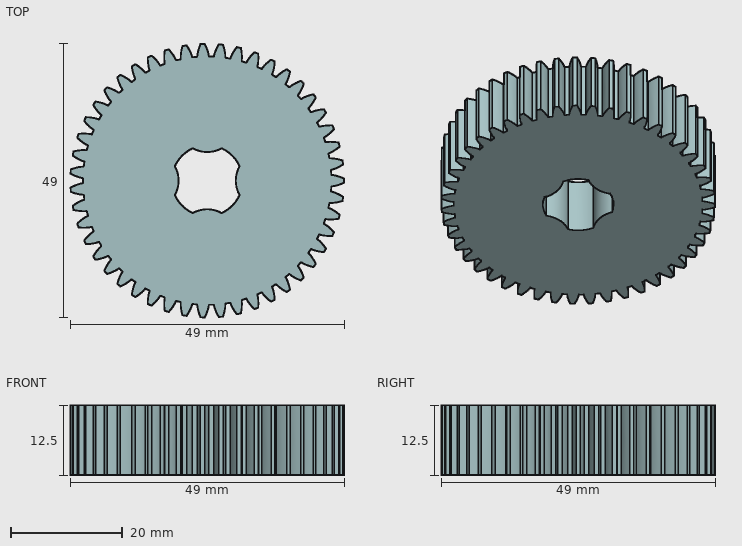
import cadquery as cq
import math

tooth_count = 47
outer_diameter = 49.0
face_width = 12.5
pressure_angle = math.radians(20.0)
dedendum_factor = 1.25
flank_steps = 6

module = outer_diameter / (tooth_count + 2)
outer_radius = outer_diameter / 2
pitch_radius = module * tooth_count / 2
base_radius = pitch_radius * math.cos(pressure_angle)
root_radius = pitch_radius - dedendum_factor * module
tooth_pitch = 2 * math.pi / tooth_count

bore_radius = 6.3
lobe_radius = 5.25
lobe_clearance = 5.1
lobe_count = 4


def polar(radius, angle):
    return (radius * math.cos(angle), radius * math.sin(angle))


def involute_angle(radius):
    """Polar angle of the involute, counted from its start on the base circle."""
    roll = math.acos(base_radius / radius)
    return math.tan(roll) - roll


def tooth_half_angle(radius):
    """Half the angle a tooth covers at a given radius; half the pitch is tooth at the pitch circle."""
    return tooth_pitch / 4 + involute_angle(pitch_radius) - involute_angle(radius)


def gear_blank():
    """Extruded gear outline, with the first tooth centred on +X."""
    step = (outer_radius - root_radius) / flank_steps
    radii = [root_radius + i * step for i in range(flank_steps + 1)]
    outline = cq.Workplane("XY").moveTo(*polar(root_radius, -tooth_half_angle(root_radius)))
    for i in range(tooth_count):
        center = i * tooth_pitch
        rising = [polar(r, center - tooth_half_angle(r)) for r in radii]
        falling = [polar(r, center + tooth_half_angle(r)) for r in reversed(radii)]
        gap_middle = polar(root_radius, center + tooth_pitch / 2)
        next_root = polar(root_radius, center + tooth_pitch - tooth_half_angle(root_radius))
        outline = outline.spline(rising[1:], includeCurrent=True)
        outline = outline.threePointArc(polar(outer_radius, center), falling[0])
        outline = outline.spline(falling[1:], includeCurrent=True)
        outline = outline.threePointArc(gap_middle, next_root)
    return outline.close().extrude(face_width)


def lobed_bore():
    """Solid of the through hole: a cylinder notched by the four lobes."""
    bore = cq.Workplane("XY").circle(bore_radius).extrude(face_width)
    lobes = (
        cq.Workplane("XY")
        .polarArray(lobe_clearance + lobe_radius, 0, 360, lobe_count)
        .circle(lobe_radius)
        .extrude(face_width)
    )
    return bore.cut(lobes)


result = gear_blank().cut(lobed_bore())